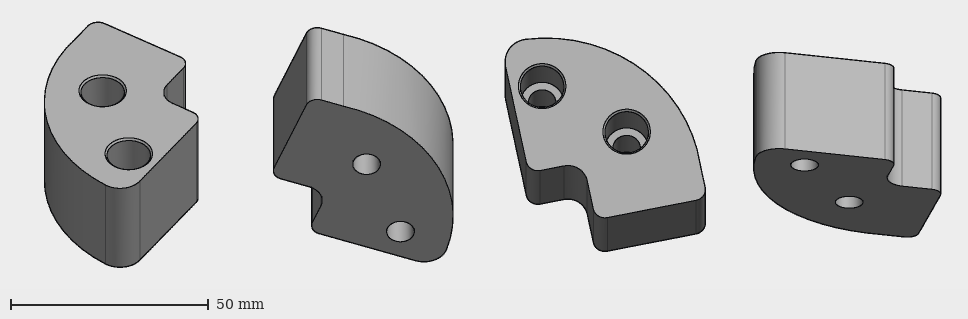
import cadquery as cq
import math

WIDTH = 43.0
HEIGHT = 27.0
NOTCH_WIDTH = 14.1
NOTCH_DEPTH = 15.7
NOTCH_FILLET = 5.0
CORNER_FILLET = 3.0
FRONT_FILLET = 6.0

ARC_RADIUS = 39.5
ARC_BULGE = 0.07
ARC_CENTER_X = ARC_RADIUS - WIDTH - ARC_BULGE
ARC_CENTER_Y = -11.34

HOLE_CENTERS = [(-26.5, -21.45), (-8.0, -37.65)]
HOLE_DIAMETER = 7.0
BORE_DIAMETER = 11.0
BORE_DEPTH = HEIGHT / 2
BORE_CHAMFER = 0.5


def arc_point(angle):
    """Point on the large arc at an angle in radians."""
    x = ARC_CENTER_X + ARC_RADIUS * math.cos(angle)
    y = ARC_CENTER_Y + ARC_RADIUS * math.sin(angle)
    return x, y


def make_block():
    """L-notched block with a rounded outer side and filleted upright corners."""
    left_angle = math.acos((-WIDTH - ARC_CENTER_X) / ARC_RADIUS)

    fillet_x = -FRONT_FILLET
    center_distance = ARC_RADIUS - FRONT_FILLET
    front_angle = 2 * math.pi - math.acos((fillet_x - ARC_CENTER_X) / center_distance)
    fillet_y = ARC_CENTER_Y + center_distance * math.sin(front_angle)
    fillet_mid_angle = (front_angle + 2 * math.pi) / 2
    fillet_mid = (
        fillet_x + FRONT_FILLET * math.cos(fillet_mid_angle),
        fillet_y + FRONT_FILLET * math.sin(fillet_mid_angle),
    )

    block = (
        cq.Workplane("XY")
        .moveTo(-WIDTH, 0)
        .lineTo(*arc_point(left_angle))
        .threePointArc(arc_point((left_angle + front_angle) / 2), arc_point(front_angle))
        .threePointArc(fillet_mid, (0, fillet_y))
        .lineTo(0, -NOTCH_DEPTH)
        .lineTo(-NOTCH_WIDTH, -NOTCH_DEPTH)
        .lineTo(-NOTCH_WIDTH, 0)
        .close()
        .extrude(-HEIGHT)
    )
    return round_corners(block)


def round_corners(block):
    """Fillet the outer corners and the inside corner of the notch."""
    outer_corners = [(-WIDTH, 0), (-NOTCH_WIDTH, 0), (0, -NOTCH_DEPTH)]
    for x, y in outer_corners:
        block = fillet_upright_edge(block, x, y, CORNER_FILLET)
    return fillet_upright_edge(block, -NOTCH_WIDTH, -NOTCH_DEPTH, NOTCH_FILLET)


def fillet_upright_edge(block, x, y, radius):
    """Fillet the vertical edge that passes through (x, y)."""
    edge = cq.selectors.NearestToPointSelector((x, y, -HEIGHT / 2))
    return block.edges("|Z").edges(edge).fillet(radius)


def make_screw_cutter(x, y):
    """Through hole, counterbore and entry chamfer revolved about one upright axis."""
    hole_radius = HOLE_DIAMETER / 2
    bore_radius = BORE_DIAMETER / 2
    profile = [
        (0, 0),
        (bore_radius + BORE_CHAMFER, 0),
        (bore_radius, -BORE_CHAMFER),
        (bore_radius, -BORE_DEPTH),
        (hole_radius, -BORE_DEPTH),
        (hole_radius, -HEIGHT),
        (0, -HEIGHT),
    ]
    cutter = cq.Workplane("XZ").polyline(profile).close().revolve(360, (0, 0), (0, 1))
    return cutter.translate((x, y, 0))


result = make_block()
for hole_x, hole_y in HOLE_CENTERS:
    result = result.cut(make_screw_cutter(hole_x, hole_y))